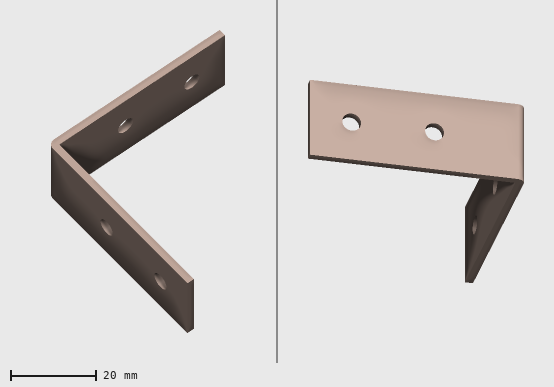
import cadquery as cq

leg_length = 52.0
height = 20.0
thickness = 2.0
corner_radius = thickness
hole_diameter = 4.5
hole_spacing = height
end_distance = hole_spacing / 2

hole_positions = [leg_length - end_distance - i * hole_spacing for i in range(2)]


def make_angle():
    """L-shaped body with a rounded outer corner and a sharp inner corner."""
    outline = (
        cq.Workplane("XY")
        .moveTo(0, 0)
        .lineTo(leg_length, 0)
        .lineTo(leg_length, thickness)
        .lineTo(thickness, thickness)
        .lineTo(thickness, leg_length)
        .lineTo(0, leg_length)
        .close()
    )
    return outline.extrude(height).edges("|Z").edges(cq.NearestToPointSelector((0, 0, height / 2))).fillet(corner_radius)


def make_hole(start, direction):
    """Cylinder that passes through one leg."""
    return cq.Workplane(cq.Solid.makeCylinder(
        hole_diameter / 2, thickness, cq.Vector(*start), cq.Vector(*direction)
    ))


result = make_angle()
for position in hole_positions:
    result = result.cut(make_hole((position, 0, height / 2), (0, 1, 0)))
    result = result.cut(make_hole((0, position, height / 2), (1, 0, 0)))